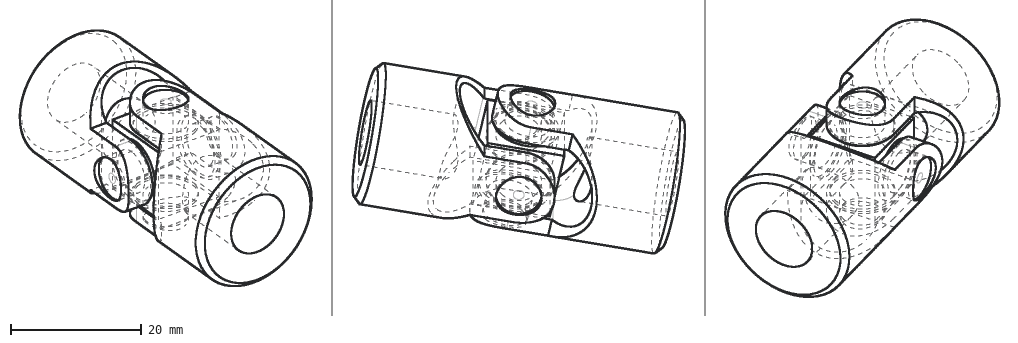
import cadquery as cq
import math


joint_length = 48.0
body_diameter = 22.0
body_radius = body_diameter / 2
half_length = joint_length / 2
end_chamfer = 1.0
bore_diameter = 10.0

prong_width = 11.0
prong_radius = prong_width / 2
shoulder_end = 12.0
shoulder_start = shoulder_end - (body_radius - prong_radius)
fork_gap = 13.0
throat_depth = 11.3
throat_length = fork_gap / 2 * math.cos(math.radians(45))
throat_start = throat_depth - throat_length

block_length = 12.0
block_width = 11.4
block_height = 12.0
collar_diameter = bore_diameter
pin_diameter = 7.0
pin_reach = 10.15
tip_diameter = 1.68
tip_height = 0.2


def fork_outline():
    """Yoke seen along the pin axis of its own prongs, X towards the shaft end."""
    return (
        cq.Workplane("XY")
        .moveTo(half_length, body_radius)
        .lineTo(shoulder_end, body_radius)
        .lineTo(shoulder_start, prong_radius)
        .lineTo(0, prong_radius)
        .threePointArc((-prong_radius, 0), (0, -prong_radius))
        .lineTo(shoulder_start, -prong_radius)
        .lineTo(shoulder_end, -body_radius)
        .lineTo(half_length, -body_radius)
        .close()
        .extrude(body_radius, both=True)
    )


def fork_gap_cutter():
    """Gap between the prongs, ending in a half ellipse, cut right through along Y."""
    straight = (
        cq.Workplane("XY")
        .box(throat_start + prong_radius, body_diameter, fork_gap)
        .translate(((throat_start - prong_radius) / 2, 0, 0))
    )
    rounded_end = (
        cq.Workplane("XZ")
        .center(throat_start, 0)
        .ellipse(throat_length, fork_gap / 2)
        .extrude(body_radius, both=True)
    )
    return straight.union(rounded_end)


def make_yoke():
    """Yoke with its shaft end towards +X and its prongs above and below the cross."""
    barrel = (
        cq.Workplane("YZ")
        .workplane(offset=-prong_radius)
        .circle(body_radius)
        .extrude(half_length + prong_radius)
        .faces(">X")
        .chamfer(end_chamfer)
    )
    bore = cq.Workplane("YZ").circle(bore_diameter / 2).extrude(half_length)
    pin_holes = cq.Workplane("XY").circle(pin_diameter / 2).extrude(body_radius, both=True)
    return barrel.intersect(fork_outline()).cut(fork_gap_cutter()).cut(bore).cut(pin_holes)


def make_arm_pair():
    """Two opposite arms along Z: collars against the prongs, pins with cone tips."""
    collars = cq.Workplane("XY").circle(collar_diameter / 2).extrude(fork_gap / 2, both=True)
    pins = cq.Workplane("XY").circle(pin_diameter / 2).extrude(pin_reach, both=True)
    arms = collars.union(pins)
    for side in (1, -1):
        tip = cq.Solid.makeCone(
            tip_diameter / 2,
            0,
            tip_height,
            pnt=cq.Vector(0, 0, side * pin_reach),
            dir=cq.Vector(0, 0, side),
        )
        arms = arms.union(cq.Workplane(obj=tip))
    return arms


def make_cross():
    block = cq.Workplane("XY").box(block_length, block_width, block_height)
    arms_z = make_arm_pair()
    arms_y = make_arm_pair().rotate((0, 0, 0), (1, 0, 0), 90)
    return block.union(arms_z).union(arms_y)


right_yoke = make_yoke()
left_yoke = make_yoke().rotate((0, 0, 0), (0, 0, 1), 180).rotate((0, 0, 0), (1, 0, 0), 90)
cross = make_cross()

result = cq.Compound.makeCompound([right_yoke.val(), left_yoke.val(), cross.val()])